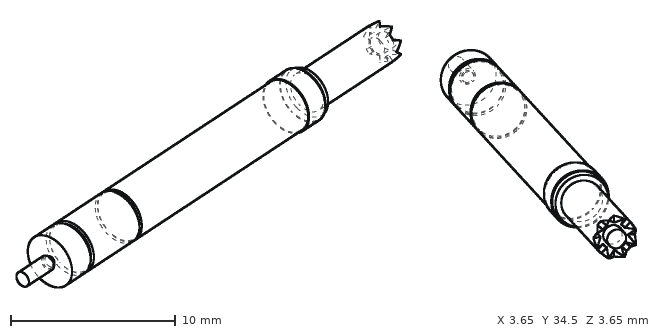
import cadquery as cq
import math

length = 34.5
crown_end = length / 2

plunger_diameter = 2.62
mouth_diameter = 3.35
barrel_diameter = 3.52
collar_diameter = 3.65
tail_pin_diameter = 1.0
tail_neck_diameter = 0.75

barrel_start = 7.5
collar_start = 7.9
collar_end = 9.5
ring_groove_center = 25.4
joint_groove_start = 29.85
barrel_end = 31.9
tail_pin_start = 32.12

ring_groove_radius = 0.1
joint_groove_depth = 0.12
joint_groove_width = 0.3

tooth_count = 8
core_diameter = 1.2
cup_depth = 0.85
vee_notch_depth = 0.55
flat_notch_depth = 0.6
flat_notch_floor = 0.35


def revolve_profile(points):
    """Solid of revolution about the Y axis from (radius, distance from crown end) points."""
    outline = [(radius, crown_end - distance) for radius, distance in points]
    return cq.Workplane("XY").polyline(outline).close().revolve(360, (0, 0, 0), (0, 1, 0))


def build_body():
    """Stepped turned body, from the crown end to the tail pin."""
    plunger = plunger_diameter / 2
    mouth = mouth_diameter / 2
    barrel = barrel_diameter / 2
    collar = collar_diameter / 2
    neck = tail_neck_diameter / 2
    pin = tail_pin_diameter / 2
    return revolve_profile([
        (0, 0),
        (plunger, 0),
        (plunger, barrel_start),
        (mouth, barrel_start),
        (barrel, collar_start),
        (collar, collar_start),
        (collar, collar_end),
        (barrel, collar_end),
        (barrel, barrel_end),
        (neck, barrel_end),
        (neck, tail_pin_start),
        (pin, tail_pin_start),
        (pin, length),
        (0, length),
    ])


def ring_groove():
    """Half-round groove around the barrel."""
    rim = barrel_diameter / 2
    profile = cq.Workplane("XY", origin=(rim, crown_end - ring_groove_center, 0)).circle(ring_groove_radius)
    return profile.revolve(360, (-rim, 0, 0), (-rim, 1, 0))


def joint_groove():
    """V groove with a steep crown side and a shallow tail side."""
    rim = barrel_diameter / 2
    return revolve_profile([
        (rim, joint_groove_start),
        (rim - joint_groove_depth, joint_groove_start + joint_groove_depth),
        (rim, joint_groove_start + joint_groove_width),
    ])


def radial_notch(depth, floor_width, turn):
    """Notch from the axis out past the rim, turned about Y; zero floor width gives a V."""
    rim = plunger_diameter / 2
    half_width = rim * math.sin(math.pi / tooth_count)
    bottom = crown_end - depth
    outline = [(-half_width, crown_end), (-floor_width / 2, bottom)]
    if floor_width > 0:
        outline.append((floor_width / 2, bottom))
    outline.append((half_width, crown_end))
    notch = cq.Workplane("XY").polyline(outline).close().extrude(rim)
    return notch.rotate((0, 0, 0), (0, 1, 0), turn)


def crown_cut():
    """Conical cup and its notches: V notches on the axes, flat ones between them."""
    core = core_diameter / 2
    cut = revolve_profile([(0, 0), (plunger_diameter / 2, 0), (core, cup_depth), (0, cup_depth)])
    for index in range(tooth_count):
        turn = index * 360 / tooth_count
        if index % 2 == 0:
            cut = cut.union(radial_notch(vee_notch_depth, 0, turn))
        else:
            cut = cut.union(radial_notch(flat_notch_depth, flat_notch_floor, turn))
    return cut.cut(revolve_profile([(0, 0), (core, 0), (core, cup_depth), (0, cup_depth)]))


result = build_body().cut(ring_groove()).cut(joint_groove()).cut(crown_cut())